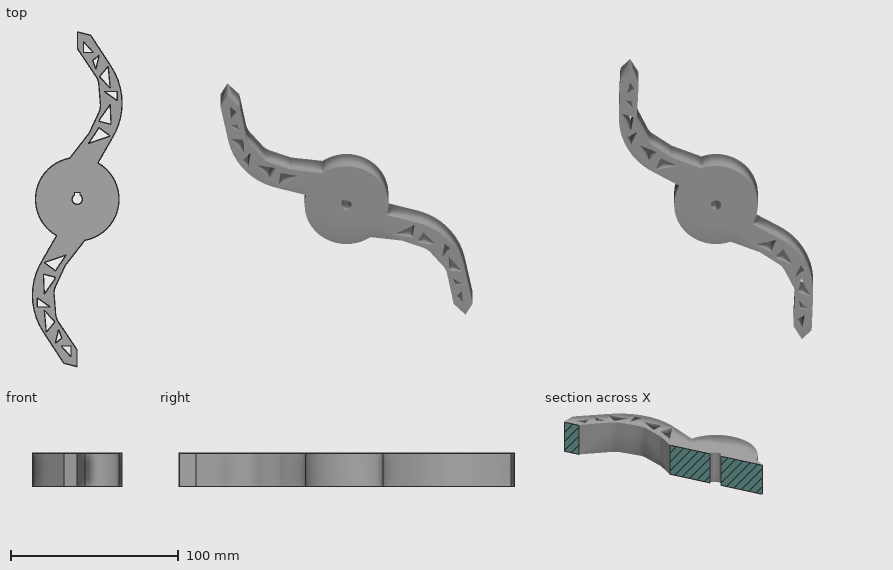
import cadquery as cq
import math

THICKNESS = 20.0
HUB_RADIUS = 25.0
TIP_REACH = 100.0

BORE_RADIUS = 3.0
KEYWAY_WIDTH = 3.0
KEYWAY_REACH = 4.0

BEND_REACH_X = 53.67 / 2
BEND_CENTER_Y = 57.3
TIP_SIDE_RADIUS = 40.0
TIP_SIDE_ANGLE = 32.8
HUB_SIDE_RADIUS = 39.3
HUB_SIDE_ANGLE = 31.6
OUTER_ROOT = (10.6, 18.6)

TIP_POINT = (0.0, TIP_REACH)
TIP_OUTER_CORNER = (8.0, 98.0)
TIP_INNER_CORNER = (0.0, 90.0)

INNER_UPPER_CORNER = (12.6, 71.2)
INNER_LOWER_CORNER = (13.95, 54.2)
INNER_KINK = (7.1, 39.5)
INNER_ROOT = (-7.1, 21.3)
INNER_CORNER_RADIUS = 10.0

WINDOWS = [
    [(3.8, 93.9), (3.8, 87.7), (9.5, 87.7)],
    [(13.0, 85.8), (9.3, 82.9), (11.1, 77.9)],
    [(18.4, 79.2), (13.4, 73.2), (19.6, 66.4)],
    [(16.2, 64.3), (23.8, 64.3), (23.8, 59.0)],
    [(19.6, 56.4), (13.8, 48.2), (13.1, 46.6), (20.1, 44.8)],
    [(13.0, 42.6), (19.6, 37.8), (6.8, 33.4)],
]


def bend_point(radius, angle):
    """Point on a bend arc, at an angle in degrees from its farthest point."""
    return (
        BEND_REACH_X - radius + radius * math.cos(math.radians(angle)),
        BEND_CENTER_Y + radius * math.sin(math.radians(angle)),
    )


def round_upright_edge(body, corner):
    """Round the upright edge that stands on a corner of the outline."""
    edge_middle = (corner[0], corner[1], THICKNESS / 2)
    edge = cq.selectors.NearestToPointSelector(edge_middle)
    return body.edges("|Z").edges(edge).fillet(INNER_CORNER_RADIUS)


def make_arm():
    """The arm that points toward +Y, with its windows cut."""
    arm = (
        cq.Workplane("XY")
        .moveTo(*OUTER_ROOT)
        .lineTo(*bend_point(HUB_SIDE_RADIUS, -HUB_SIDE_ANGLE))
        .threePointArc(
            bend_point(HUB_SIDE_RADIUS, -HUB_SIDE_ANGLE / 2),
            (BEND_REACH_X, BEND_CENTER_Y),
        )
        .threePointArc(
            bend_point(TIP_SIDE_RADIUS, TIP_SIDE_ANGLE / 2),
            bend_point(TIP_SIDE_RADIUS, TIP_SIDE_ANGLE),
        )
        .lineTo(*TIP_OUTER_CORNER)
        .lineTo(*TIP_POINT)
        .lineTo(*TIP_INNER_CORNER)
        .lineTo(*INNER_UPPER_CORNER)
        .lineTo(*INNER_LOWER_CORNER)
        .lineTo(*INNER_KINK)
        .lineTo(*INNER_ROOT)
        .close()
        .extrude(THICKNESS)
    )
    for corner in (INNER_UPPER_CORNER, INNER_LOWER_CORNER):
        arm = round_upright_edge(arm, corner)
    for window in WINDOWS:
        arm = arm.cut(cq.Workplane("XY").polyline(window).close().extrude(THICKNESS))
    return arm


def make_shaft_hole():
    """The bore and its keyway, through the full thickness."""
    bore = cq.Workplane("XY").circle(BORE_RADIUS).extrude(THICKNESS)
    keyway = (
        cq.Workplane("XY")
        .center(0, KEYWAY_REACH / 2)
        .rect(KEYWAY_WIDTH, KEYWAY_REACH)
        .extrude(THICKNESS)
    )
    return bore.union(keyway)


hub = cq.Workplane("XY").circle(HUB_RADIUS).extrude(THICKNESS)
upper_arm = make_arm()
lower_arm = upper_arm.rotate((0, 0, 0), (0, 0, 1), 180)

result = hub.union(upper_arm).union(lower_arm).cut(make_shaft_hole())